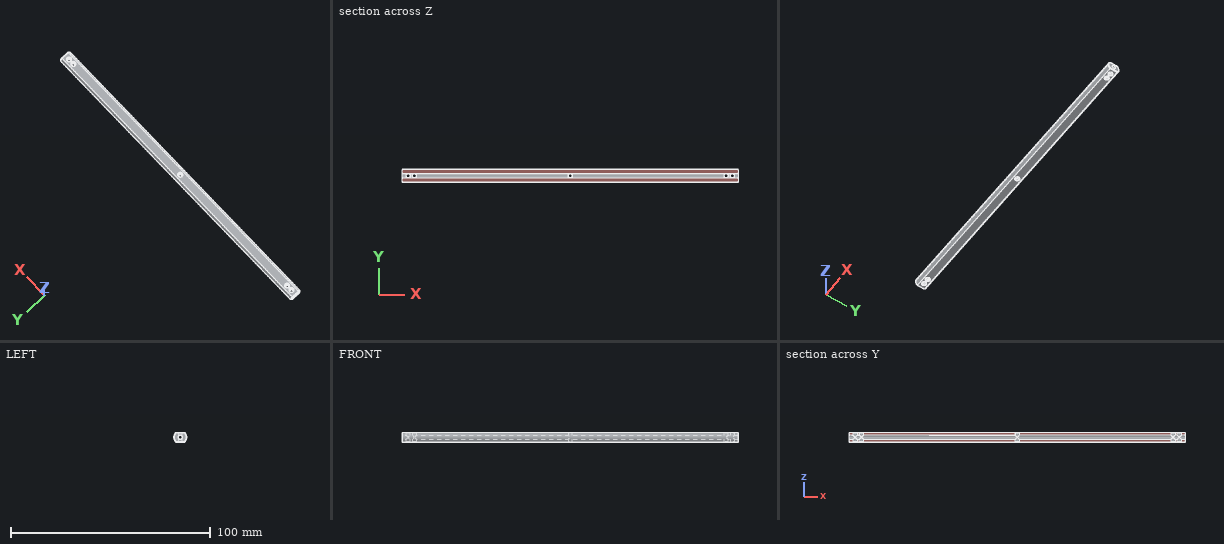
import cadquery as cq

length = 168.75
rod_diameter = 6.6
height_over_flats = 5.0
end_chamfer = 0.3

hole_diameter = 2.0
countersink_diameter = 2.6
countersink_depth = (countersink_diameter - hole_diameter) / 2

outer_hole_inset = 3.1
inner_hole_inset = 6.25
outer_hole_x = length / 2 - outer_hole_inset
inner_hole_x = length / 2 - inner_hole_inset
cross_hole_positions = (-outer_hole_x, -inner_hole_x, 0, inner_hole_x, outer_hole_x)


def flatted_rod():
    """Rod with an upper and a lower flat, chamfered all round both end faces."""
    rod = cq.Workplane("YZ").circle(rod_diameter / 2).extrude(length / 2, both=True)
    flats = cq.Workplane("XY").box(length, rod_diameter, height_over_flats)
    return rod.intersect(flats).faces("<X or >X").chamfer(end_chamfer)


def axial_bore():
    """Bore running through the whole length of the bar."""
    return cq.Workplane("YZ").circle(hole_diameter / 2).extrude(length / 2, both=True)


def cross_hole(x):
    """Vertical through hole with a conical mouth in the upper flat and in the lower flat."""
    bore = (
        cq.Workplane("XY")
        .center(x, 0)
        .circle(hole_diameter / 2)
        .extrude(height_over_flats / 2, both=True)
    )
    cone = cq.Solid.makeCone(
        countersink_diameter / 2,
        hole_diameter / 2,
        countersink_depth,
        pnt=cq.Vector(x, 0, height_over_flats / 2),
        dir=cq.Vector(0, 0, -1),
    )
    upper_mouth = cq.Workplane(obj=cone)
    lower_mouth = upper_mouth.mirror("XY")
    return bore.union(upper_mouth).union(lower_mouth)


bar = flatted_rod().cut(axial_bore())
for hole_x in cross_hole_positions:
    bar = bar.cut(cross_hole(hole_x))

result = bar.solids()